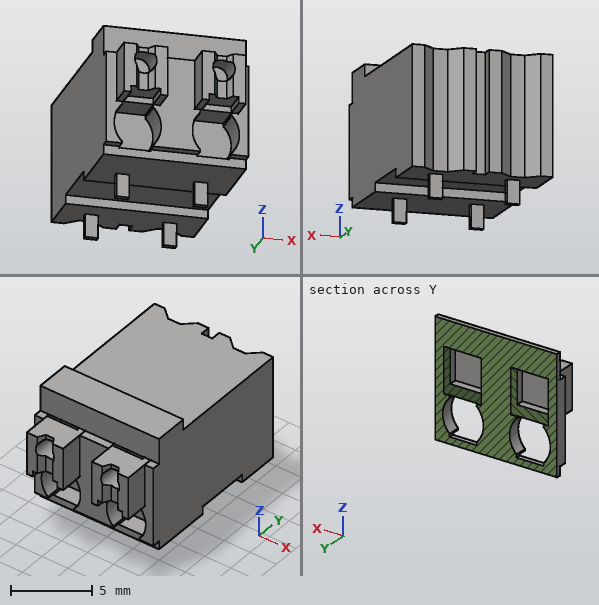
import cadquery as cq


pole_pitch = 5.0
pole_positions = (-pole_pitch / 2, pole_pitch / 2)

housing_width = 9.1
housing_length = 12.3
body_height = 7.72
ridge_height = 8.5
ridge_front = 0.58
ridge_rear = 3.08
shelf_height = 6.58
lower_step_height = 0.62
relief_front = 5.08
relief_rear = 9.1
relief_height = 0.57

notch_depth = 0.72
vee_mouth_width = 2.52
vee_floor_width = 0.92
slot_width = 0.82

lever_width = 2.78
lever_bottom = 3.38
lever_overhang = 1.7
lever_plate_rear = 0.38
lever_tab_width = 0.48
lever_foot_height = 0.8
pocket_depth = 1.85

groove_mouth_width = 1.18
groove_floor_width = 0.6
groove_depth = 0.5
tool_hole_diameter = 1.4
tool_hole_height = 5.6
tool_hole_depth = lever_overhang
bottom_channel_width = 1.88
bottom_channel_height = 0.4
bottom_channel_depth = lever_overhang

entry_offset = -0.04
entry_flat_width = 2.0
entry_bulge_width = 3.0
entry_floor = 0.53
entry_center_height = 1.96
entry_arc_half_height = 1.23

pin_width = 0.82
pin_thickness = 0.36
pin_length = 1.5
pin_rows = (3.62, 10.6)


def box(x_range, y_range, z_range):
    """Axis-aligned block between the given limits."""
    size = [high - low for low, high in (x_range, y_range, z_range)]
    corner = (x_range[0], y_range[0], z_range[0])
    return cq.Workplane("XY").box(*size, centered=False).translate(corner)


def centered_range(center, width):
    return (center - width / 2, center + width / 2)


def make_trapezoid(x_center, mouth_y, floor_y, mouth_width, floor_width):
    """Full-height prism that narrows from its mouth to its floor."""
    mouth_left, mouth_right = centered_range(x_center, mouth_width)
    floor_left, floor_right = centered_range(x_center, floor_width)
    return (
        cq.Workplane("XY")
        .moveTo(mouth_left, mouth_y)
        .lineTo(floor_left, floor_y)
        .lineTo(floor_right, floor_y)
        .lineTo(mouth_right, mouth_y)
        .close()
        .extrude(ridge_height)
    )


def make_housing_block():
    outline = [
        (0, lower_step_height),
        (0, shelf_height),
        (ridge_front, shelf_height),
        (ridge_front, ridge_height),
        (ridge_rear, ridge_height),
        (ridge_rear, body_height),
        (housing_length, body_height),
        (housing_length, 0),
        (relief_rear, 0),
        (relief_rear, relief_height),
        (relief_front, relief_height),
        (relief_front, 0),
        (ridge_front, 0),
        (ridge_front, lower_step_height),
    ]
    return cq.Workplane("YZ").polyline(outline).close().extrude(housing_width / 2, both=True)


def make_wire_entry(x_pole):
    """Blind wire opening that runs up into the lever pocket."""
    x_center = x_pole + entry_offset
    flat_left, flat_right = centered_range(x_center, entry_flat_width)
    bulge_left, bulge_right = centered_range(x_center, entry_bulge_width)
    arc_bottom = entry_center_height - entry_arc_half_height
    arc_top = entry_center_height + entry_arc_half_height
    return (
        cq.Workplane("XZ")
        .moveTo(flat_left, entry_floor)
        .lineTo(flat_right, entry_floor)
        .lineTo(flat_right, arc_bottom)
        .threePointArc((bulge_right, entry_center_height), (flat_right, arc_top))
        .lineTo(flat_right, lever_bottom)
        .lineTo(flat_left, lever_bottom)
        .lineTo(flat_left, arc_top)
        .threePointArc((bulge_left, entry_center_height), (flat_left, arc_bottom))
        .close()
        .extrude(-pocket_depth)
    )


def make_lever_pocket(x_pole):
    return box(centered_range(x_pole, lever_width), (0, pocket_depth), (lever_bottom, shelf_height))


def make_housing():
    housing = make_housing_block()
    rear_floor = housing_length - notch_depth
    for x_pole in pole_positions:
        housing = housing.cut(make_lever_pocket(x_pole))
        housing = housing.cut(make_wire_entry(x_pole))
        vee = make_trapezoid(x_pole, housing_length, rear_floor, vee_mouth_width, vee_floor_width)
        housing = housing.cut(vee)
    rear_slot = box(centered_range(0, slot_width), (rear_floor, housing_length), (0, body_height))
    return housing.cut(rear_slot)


def make_lever(x_pole):
    """Release lever: a front plate with a narrow tab and a low foot reaching the back of its pocket."""
    left, right = centered_range(x_pole, lever_width)
    front = -lever_overhang
    height_range = (lever_bottom, shelf_height)
    plate = box((left, right), (front, lever_plate_rear), height_range)
    tab = box((right - lever_tab_width, right), (front, pocket_depth), height_range)
    foot = box((left, right), (front, pocket_depth), (lever_bottom, lever_bottom + lever_foot_height))
    groove = make_trapezoid(x_pole, front, front + groove_depth, groove_mouth_width, groove_floor_width)
    tool_hole = (
        cq.Workplane("XZ", origin=(x_pole, front, tool_hole_height))
        .circle(tool_hole_diameter / 2)
        .extrude(-tool_hole_depth)
    )
    bottom_channel = box(
        centered_range(x_pole, bottom_channel_width),
        (front, front + bottom_channel_depth),
        (lever_bottom, lever_bottom + bottom_channel_height),
    )
    return plate.union(tab).union(foot).cut(groove).cut(tool_hole).cut(bottom_channel)


def make_pin(x_pole, y_row):
    return box(centered_range(x_pole, pin_width), centered_range(y_row, pin_thickness), (-pin_length, 0))


housing = make_housing()
levers = [make_lever(x_pole) for x_pole in pole_positions]
pins = [make_pin(x_pole, y_row) for x_pole in pole_positions for y_row in pin_rows]

result = cq.Compound.makeCompound([housing.val(), *[body.val() for body in levers + pins]])